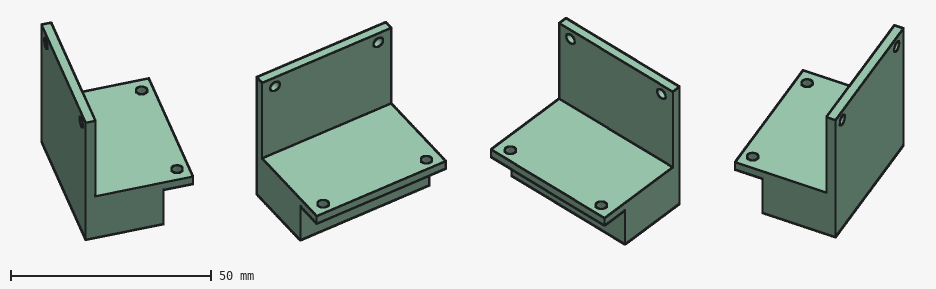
import cadquery as cq

width = 38.1
depth = 27.95
height = 39.37

plate_thickness = 2.55
shelf_top = 14.0
block_depth = 20.3

hole_diameter = 2.85
hole_spacing = 30.47
hole_edge_distance = 3.05


def hole_pair(plane, edge_position, length):
    """Two round cutters, mirrored about X = 0, extruded along the plane normal."""
    half_spacing = hole_spacing / 2
    return (
        cq.Workplane(plane)
        .pushPoints([(-half_spacing, edge_position), (half_spacing, edge_position)])
        .circle(hole_diameter / 2)
        .extrude(length)
    )


shelf_bottom = shelf_top - plate_thickness
profile = [
    (0, 0),
    (block_depth, 0),
    (block_depth, shelf_bottom),
    (depth, shelf_bottom),
    (depth, shelf_top),
    (plate_thickness, shelf_top),
    (plate_thickness, height),
    (0, height),
]
body = cq.Workplane("YZ").polyline(profile).close().extrude(width / 2, both=True)

upright_holes = hole_pair("XZ", height - hole_edge_distance, -plate_thickness)

shelf_holes = hole_pair("XY", depth - hole_edge_distance, shelf_top)

result = body.cut(upright_holes).cut(shelf_holes)